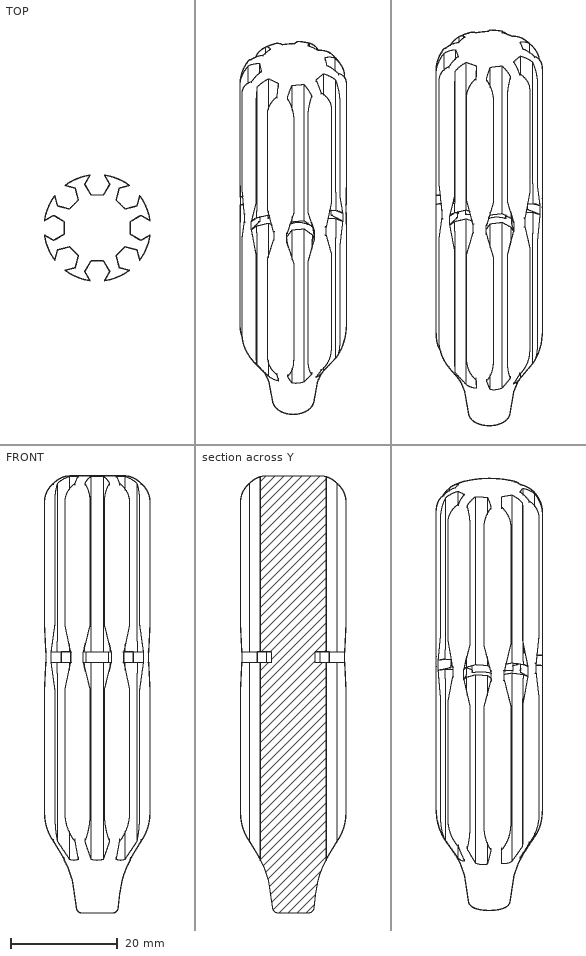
import cadquery as cq
import math

LENGTH = 82.0
BODY_RADIUS = 10.0
CROWN_RADIUS = 5.0
SHOULDER_RADIUS = 10.7
SHOULDER_TOP = 18.9
SHOULDER_DROP = 6.4
NECK_HEIGHT = 7.0
NECK_RADIUS = 4.9
TIP_TAPER = 6.0
TIP_RADIUS = 3.9
TIP_ROUND = 1.0

GROOVE_COUNT = 8
GROOVE_ACROSS_FLATS = 4.0
GROOVE_CENTER = 8.2

FLARE_HEIGHT = 48.0
FLARE_HALF_LENGTH = 6.1
FLARE_HALF_WIDTH = 2.6
FLARE_CORNER_HALF_WIDTH = 2.5
POCKET_HEIGHT = 2.0
POCKET_RADIUS = 2.8
POCKET_CENTER = 6.9

GROOVE_SIDE = GROOVE_ACROSS_FLATS / math.sqrt(3)
GROOVE_FLOOR = GROOVE_CENTER - GROOVE_ACROSS_FLATS / 2
GROOVE_TOP = GROOVE_CENTER + GROOVE_ACROSS_FLATS / 2


def make_body():
    """Handle with a rounded crown, a curved shoulder and a concave neck."""
    crown_mid = CROWN_RADIUS * math.sqrt(0.5)
    crown_center_r = BODY_RADIUS - CROWN_RADIUS
    crown_center_z = LENGTH - CROWN_RADIUS
    turn = math.asin(SHOULDER_DROP / SHOULDER_RADIUS)
    taper = math.radians(TIP_TAPER)
    shoulder_center_r = BODY_RADIUS - SHOULDER_RADIUS

    def shoulder_point(angle):
        return (
            shoulder_center_r + SHOULDER_RADIUS * math.cos(angle),
            SHOULDER_TOP - SHOULDER_RADIUS * math.sin(angle),
        )

    profile = (
        cq.Workplane("XZ")
        .moveTo(0, LENGTH)
        .lineTo(crown_center_r, LENGTH)
        .threePointArc(
            (crown_center_r + crown_mid, crown_center_z + crown_mid),
            (BODY_RADIUS, crown_center_z),
        )
        .lineTo(BODY_RADIUS, SHOULDER_TOP)
        .threePointArc(shoulder_point(turn / 2), shoulder_point(turn))
        .spline(
            [(NECK_RADIUS, NECK_HEIGHT), (TIP_RADIUS, TIP_ROUND)],
            tangents=[(-math.sin(turn), -math.cos(turn)), (-math.sin(taper), -math.cos(taper))],
            includeCurrent=True,
        )
        .tangentArcPoint((TIP_RADIUS - TIP_ROUND, 0), relative=False)
        .lineTo(0, 0)
        .close()
    )
    return profile.revolve(360, (0, 0, 0), (0, 1, 0))


def groove_outline(corner_half_width, mouth_half_width):
    """Six-sided groove section on the constant groove floor, on the +X side."""
    half_floor = GROOVE_SIDE / 2
    return [
        (GROOVE_FLOOR, -half_floor),
        (GROOVE_CENTER, -corner_half_width),
        (GROOVE_TOP, -mouth_half_width),
        (GROOVE_TOP, mouth_half_width),
        (GROOVE_CENTER, corner_half_width),
        (GROOVE_FLOOR, half_floor),
    ]


HEXAGON = groove_outline(GROOVE_SIDE, GROOVE_SIDE / 2)
FLARED = groove_outline(FLARE_CORNER_HALF_WIDTH, FLARE_HALF_WIDTH)


def make_flare(direction):
    """Groove widening from one end of the flare to the pocket."""
    end_height = FLARE_HEIGHT + direction * FLARE_HALF_LENGTH
    pocket_face = FLARE_HEIGHT + direction * POCKET_HEIGHT / 2
    return (
        cq.Workplane("XY", origin=(0, 0, end_height))
        .polyline(HEXAGON)
        .close()
        .workplane(offset=pocket_face - end_height)
        .polyline(FLARED)
        .close()
        .loft(ruled=True)
    )


def make_pocket():
    """Slot with a round inner end, narrowing slightly to the flared mouth."""
    return (
        cq.Workplane("XY", origin=(0, 0, FLARE_HEIGHT - POCKET_HEIGHT / 2))
        .moveTo(GROOVE_TOP, -FLARE_HALF_WIDTH)
        .lineTo(POCKET_CENTER, -POCKET_RADIUS)
        .threePointArc((POCKET_CENTER - POCKET_RADIUS, 0), (POCKET_CENTER, POCKET_RADIUS))
        .lineTo(GROOVE_TOP, FLARE_HALF_WIDTH)
        .close()
        .extrude(POCKET_HEIGHT)
    )


def make_groove_cutter():
    """Everything removed along one groove, on the +X side."""
    groove = cq.Workplane("XY").polyline(HEXAGON).close().extrude(LENGTH)
    return groove.union(make_flare(1)).union(make_flare(-1)).union(make_pocket())


result = make_body()
groove_cutter = make_groove_cutter()
for index in range(GROOVE_COUNT):
    angle = index * 360 / GROOVE_COUNT
    result = result.cut(groove_cutter.rotate((0, 0, 0), (0, 0, 1), angle))